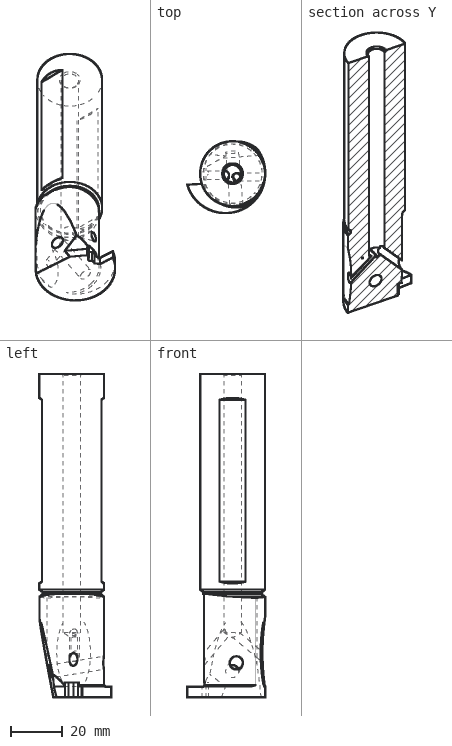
import cadquery as cq
import math

total_length = 124.5

shank_diameter = 25.0
shank_radius = shank_diameter / 2
shank_bottom = 41.5
shank_chamfer_height = 0.9
flat_width = 10.0
flat_bottom = 44.6
flat_top = 114.5
run_out_length = 0.7
flat_distance = math.sqrt(shank_radius**2 - (flat_width / 2) ** 2)
flat_depth = shank_radius - flat_distance

groove_radius = 11.3
groove_bottom = 39.7
neck_chamfer_radius = 12.2
neck_shoulder_slope = 0.5

neck_radius = 12.5
neck_offset_x = 1.4
neck_foot_flare = 0.6

head_diameter = 30.8
head_radius = head_diameter / 2
head_offset_x = -2.7
head_offset_y = 0.1
head_height = 4.1

tooth_tip_y = -4.2
rake_root_x = -11.7
rake_root_y = -3.9
seat_end_y = -2.4
gullet_wall_x = -10.2
gullet_end_y = 2.5
gullet_height = 5.7
seat_notch_radius = 1.0
seat_notch_y = 0.2
bevel_angle = 60.0
bevel_height = 4.1
bevel_roof_rise = 1.4

slope_base_y = 6.2
slope_x = 0.08
slope_z = 0.2

scoop_radius = 77.2
scoop_floor_x = 11.2
scoop_center_z = 17.0
scoop_yaw = 3.5

bore_diameter = 6.7
bore_radius = bore_diameter / 2
bore_bottom = 24.9
bore_chamfer = 0.6
drill_tip_angle = 118.0
coolant_diameter = 3.1
coolant_outlet_z = 14.6
coolant_start_x = 0.9
left_coolant_y = -0.6
right_coolant_y = -1.4
left_coolant_tilt = 50.0
right_coolant_tilt = 40.0
cross_hole_diameter = 5.0
cross_hole_mouth = (1.5, -12.5, 13.3)
cross_hole_axis = (-0.08, 1, -0.16)

cutter_size = 49.8


def disc(radius, center_x, center_y, height):
    return cq.Workplane("XY").center(center_x, center_y).circle(radius).extrude(height)


def block(x_range, y_range, z_range):
    size = [high - low for low, high in (x_range, y_range, z_range)]
    corner = (x_range[0], y_range[0], z_range[0])
    return cq.Workplane("XY").box(*size, centered=False).translate(corner)


def rod(start, direction, diameter, length):
    solid = cq.Solid.makeCylinder(diameter / 2, length, cq.Vector(*start), cq.Vector(*direction))
    return cq.Workplane(obj=solid)


def make_shank():
    body = disc(shank_radius, 0, 0, total_length - groove_bottom).translate((0, 0, groove_bottom))
    outer = flat_distance + 2 * flat_depth
    outer_run_out = 2 * run_out_length
    flat_cut = (
        cq.Workplane("YZ")
        .polyline([
            (flat_distance, flat_bottom),
            (outer, flat_bottom - outer_run_out),
            (outer, flat_top + outer_run_out),
            (flat_distance, flat_top),
        ])
        .close()
        .extrude(flat_width, both=True)
    )
    return body.cut(flat_cut).cut(flat_cut.mirror("XZ"))


def make_neck_and_head():
    neck = disc(neck_radius, neck_offset_x, 0, shank_bottom)
    head = disc(head_radius, head_offset_x, head_offset_y, head_height)
    foot_cone = cq.Solid.makeCone(
        neck_radius + neck_foot_flare,
        neck_radius,
        neck_foot_flare,
        pnt=cq.Vector(neck_offset_x, 0, head_height),
    )
    foot = cq.Workplane(obj=foot_cone)
    envelope = disc(head_radius, head_offset_x, head_offset_y, shank_bottom)
    return neck.union(foot).intersect(envelope).union(head)


def make_groove_cutter():
    outer = cutter_size / 2
    chamfer_bottom = groove_bottom - (neck_chamfer_radius - groove_radius)
    shoulder_bottom = chamfer_bottom - neck_shoulder_slope * (outer - neck_chamfer_radius)
    return (
        cq.Workplane("XZ")
        .polyline([
            (groove_radius, groove_bottom),
            (neck_chamfer_radius, chamfer_bottom),
            (outer, shoulder_bottom),
            (outer, shank_bottom),
            (shank_radius, shank_bottom),
            (groove_radius, shank_bottom - shank_chamfer_height),
        ])
        .close()
        .revolve(360, (0, 0, 0), (0, 1, 0))
    )


def make_gullet_cutter():
    tooth_tip_x = head_offset_x - math.sqrt(head_radius**2 - (tooth_tip_y - head_offset_y) ** 2)
    pocket = (
        cq.Workplane("XY")
        .polyline([
            (gullet_wall_x, gullet_end_y),
            (gullet_wall_x, seat_end_y),
            (rake_root_x, rake_root_y),
            (tooth_tip_x, tooth_tip_y),
            (-cutter_size, tooth_tip_y),
            (-cutter_size, gullet_end_y),
        ])
        .close()
        .extrude(gullet_height)
    )
    notch = disc(seat_notch_radius, gullet_wall_x, seat_notch_y, gullet_height)
    return pocket.union(notch)


def make_bevel_cutter():
    facing_x = -math.cos(math.radians(bevel_angle))
    facing_y = math.sin(math.radians(bevel_angle))
    outward = facing_x * gullet_wall_x + facing_y * gullet_end_y
    travel = cutter_size / 2
    plane = cq.Plane(origin=(0, 0, 0), xDir=(facing_x, facing_y, 0), normal=(facing_y, -facing_x, 0))
    prism = (
        cq.Workplane(plane)
        .polyline([
            (outward, 0),
            (outward, bevel_height),
            (outward + travel, bevel_height + bevel_roof_rise * travel),
            (outward + travel, 0),
        ])
        .close()
        .extrude(cutter_size, both=True)
    )
    return prism.intersect(
        block((-cutter_size, cutter_size), (gullet_end_y, cutter_size), (0, cutter_size))
    )


def make_slope_cutter():
    normal = (-slope_x, 1, -slope_z)
    plane = cq.Plane(origin=(0, slope_base_y, 0), xDir=(1, slope_x, 0), normal=normal)
    slab = cq.Workplane(plane).rect(2 * cutter_size, 2 * cutter_size).extrude(cutter_size)
    limits = block((-cutter_size, cutter_size), (0, cutter_size), (0, groove_bottom))
    return slab.intersect(limits)


def make_scoop_cutter():
    cylinder = (
        cq.Workplane("XZ")
        .center(scoop_radius, scoop_center_z)
        .circle(scoop_radius)
        .extrude(cutter_size, both=True)
        .rotate((0, 0, 0), (0, 0, 1), -scoop_yaw)
        .translate((scoop_floor_x, 0, 0))
    )
    return cylinder.intersect(
        block((0, cutter_size), (-cutter_size, cutter_size), (head_height, groove_bottom))
    )


def make_bore_cutter():
    tip = bore_bottom - bore_radius / math.tan(math.radians(drill_tip_angle / 2))
    return (
        cq.Workplane("XZ")
        .polyline([
            (0, tip),
            (bore_radius, bore_bottom),
            (bore_radius, total_length - bore_chamfer),
            (bore_radius + bore_chamfer, total_length),
            (0, total_length),
        ])
        .close()
        .revolve(360, (0, 0, 0), (0, 1, 0))
    )


def make_coolant_hole(side, outlet_x, outlet_y, tilt_degrees):
    tilt = math.radians(tilt_degrees)
    uphill = (-side * math.cos(tilt), 0, math.sin(tilt))
    depth = (abs(outlet_x) - coolant_start_x) / math.cos(tilt)
    inside = rod((outlet_x, outlet_y, coolant_outlet_z), uphill, coolant_diameter, depth)
    downhill = tuple(-component for component in uphill)
    outside = rod((outlet_x, outlet_y, coolant_outlet_z), downhill, coolant_diameter, bore_diameter)
    return inside.union(outside)


def make_cross_hole():
    axis = cq.Vector(*cross_hole_axis)
    start = cq.Vector(*cross_hole_mouth) - axis * cross_hole_diameter
    return rod(start.toTuple(), axis.toTuple(), cross_hole_diameter, cutter_size)


result = make_shank().union(make_neck_and_head())
cutters = [
    make_groove_cutter(),
    make_gullet_cutter(),
    make_bevel_cutter(),
    make_slope_cutter(),
    make_scoop_cutter(),
    make_bore_cutter(),
    make_coolant_hole(-1, neck_offset_x - neck_radius, left_coolant_y, left_coolant_tilt),
    make_coolant_hole(1, head_offset_x + head_radius, right_coolant_y, right_coolant_tilt),
    make_cross_hole(),
]
for cutter in cutters:
    result = result.cut(cutter)